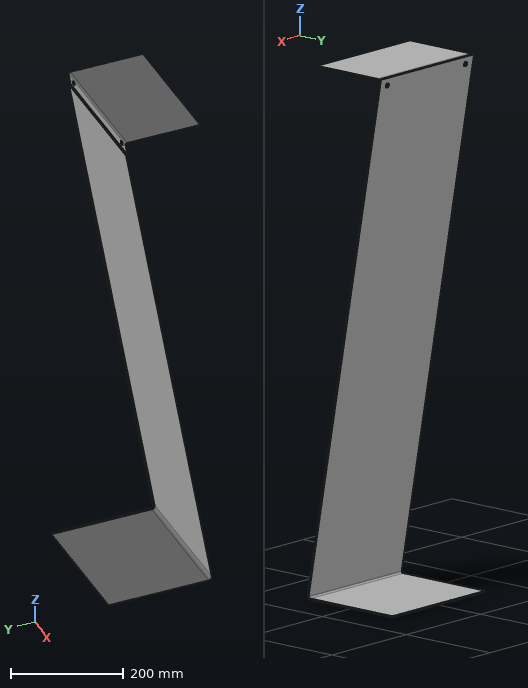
import cadquery as cq
import math

width = 250.0
thickness = 3.0
bend_radius = 6.0
tilt = 10.0

panel_length = 1000.0
foot_inner_length = 200.0
shelf_length = 150.0
flange_length = 30.0

hole_diameter = 8.0
hole_edge_distance = 20.0
hole_top_distance = 15.0

tilt_sine = math.sin(math.radians(tilt))
tilt_cosine = math.cos(math.radians(tilt))
leg_angle = 90.0 - tilt
corner_setback = thickness / math.tan(math.radians(leg_angle / 2))
foot_length = foot_inner_length + corner_setback

panel_top_y = panel_length * tilt_sine
panel_top_z = panel_length * tilt_cosine


def bent_sheet(flat_length, tilted_length):
    """Sheet with a flat leg along +Y and a tilted leg rising from it.

    The sharp outer corner lies on the X axis; both lengths start there.
    """
    outer_end_y = tilted_length * tilt_sine
    outer_end_z = tilted_length * tilt_cosine
    inner_end_y = outer_end_y + thickness * tilt_cosine
    inner_end_z = outer_end_z - thickness * tilt_sine
    sheet = (
        cq.Workplane("YZ")
        .moveTo(0, 0)
        .lineTo(flat_length, 0)
        .lineTo(flat_length, thickness)
        .lineTo(corner_setback, thickness)
        .lineTo(inner_end_y, inner_end_z)
        .lineTo(outer_end_y, outer_end_z)
        .close()
        .extrude(width / 2, both=True)
    )
    outer_corner = cq.selectors.NearestToPointSelector((0, 0, 0))
    inner_corner = cq.selectors.NearestToPointSelector((0, corner_setback, thickness))
    sheet = sheet.edges(inner_corner).fillet(bend_radius - thickness)
    return sheet.edges(outer_corner).fillet(bend_radius)


def hole_cutters():
    """Two pins square to the panel, passing through the panel and the flange."""
    distance_up_panel = panel_length - hole_top_distance
    front_face = cq.Plane(
        origin=(0, distance_up_panel * tilt_sine, distance_up_panel * tilt_cosine),
        xDir=(1, 0, 0),
        normal=(0, -tilt_cosine, tilt_sine),
    )
    hole_x = width / 2 - hole_edge_distance
    return (
        cq.Workplane(front_face)
        .pushPoints([(-hole_x, 0), (hole_x, 0)])
        .circle(hole_diameter / 2)
        .extrude(2 * thickness, both=True)
    )


panel = bent_sheet(foot_length, panel_length).cut(hole_cutters())

shelf = (
    bent_sheet(shelf_length, flange_length)
    .rotate((0, 0, 0), (1, 0, 0), 180)
    .translate((0, panel_top_y, panel_top_z))
    .cut(hole_cutters())
)

result = cq.Compound.makeCompound([panel.val(), shelf.val()])